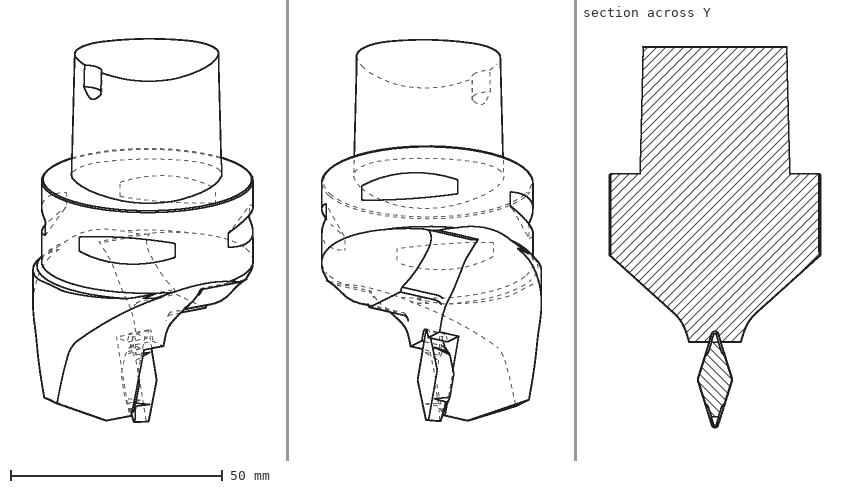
import cadquery as cq
import math

SHANK_LENGTH = 30.0
SHANK_TAPER = 1 / 40
LOBE_CENTRE = 7.2
LOBE_RADIUS_END = 10.8
SEAM_ANGLE = math.radians(40)
LOBE_DIRECTIONS = [90, 210, 330]

NOTCH_RADIUS = 4.85
NOTCH_CENTRE_Y = -18.5
NOTCH_DEPTH = 5.4
NOTCH_TIP_DEPTH = NOTCH_RADIUS

FLANGE_RADIUS = 25.0
FLANGE_CHAMFER = 0.35
FLANGE_BOTTOM = -20.35
RIM_HEIGHT = 1.1
RIM_OVERHANG = 0.55
RIM_RADIUS = FLANGE_RADIUS + RIM_OVERHANG
RIM_BOTTOM = FLANGE_BOTTOM - RIM_HEIGHT

GROOVE_Z = -10.0
GROOVE_FLOOR_DISTANCE = 22.15
GROOVE_FLOOR_WIDTH = 3.5
GROOVE_CORNER_RADIUS = 0.45
GROOVE_FLANK_SLOPE = math.tan(math.radians(28))
GROOVE_DIRECTIONS = [45, 135, 225, 315]

BLADE_FRONT_Y = 0.65
BLADE_BACK_Y = -27.15
BLADE_ROUND_RADIUS = 23.3
BLADE_ROUND_CENTRE_Y = -4.45
BLADE_LEDGE_Z = RIM_BOTTOM - 0.2
BLADE_FLAT_BLEND = 9.5
SHOULDER_Z = -19.2
SHOULDER_SLOPE = math.tan(math.radians(42))
SIDE_BLEND_RADIUS = 10.0
HEEL_START_Y = -11.6
HEEL_START_Z = -57.8
HEEL_END_Z = -50.2

BLOCK_FRONT_Y = 12.15
BLOCK_BOTTOM = -32.2
BLOCK_ARC_RADIUS = 26.7
BLOCK_CORNER_RADIUS = 3.8
BLOCK_FOOT_BLEND = 1.5
BLOCK_LAND_TOP = -31.2
BLOCK_LAND_HALF_WIDTH = 6.5
RELIEF_OUTER_Z = -19.9
RELIEF_SLOPE = 0.12

INSERT_TIP_Z = -60.0
INSERT_INSCRIBED_RADIUS = 7.94 / 2
INSERT_HALF_ANGLE = math.radians(17.5)
INSERT_NOSE_RADIUS = 0.8
INSERT_SIDE_RADIUS = 1.2
INSERT_THICKNESS = 4.3
INSERT_RELIEF_ANGLE = 7.0
INSERT_END_THICKNESS = 3.6
APEX_DISTANCE = INSERT_INSCRIBED_RADIUS / math.sin(INSERT_HALF_ANGLE)
SIDE_DISTANCE = INSERT_INSCRIBED_RADIUS / math.cos(INSERT_HALF_ANGLE)
NOSE_CUTBACK = INSERT_NOSE_RADIUS * (1 / math.sin(INSERT_HALF_ANGLE) - 1)
INSERT_CENTRE_Z = INSERT_TIP_Z + APEX_DISTANCE - NOSE_CUTBACK

SEAT_Y = -4.8
PAD_START_Y = -0.6
PAD_HALF_LENGTH = 6.45
PAD_END_SLOPE = 1.2
PAD_END_TAPER = 6.0
SEAT_TOP = -39.8

TAIL_INSET = 0.8
TAIL_NOSE_RADIUS = 0.6
TAIL_APEX_Z = INSERT_CENTRE_Z - APEX_DISTANCE + TAIL_INSET / math.sin(INSERT_HALF_ANGLE)

MARGIN = 40.0
OVERCUT = 1.0
SELECTION_GAP = 0.1


def xz_plane(y):
    """Plane facing -Y at the given Y, with local axes along X and Z."""
    return cq.Workplane("XZ", origin=(0, y, 0))


def polar(direction, distance, centre=(0.0, 0.0)):
    angle = math.radians(direction)
    return (centre[0] + distance * math.cos(angle), centre[1] + distance * math.sin(angle))


def shank_outline(plane, lobe_radius):
    """Closed outline of six tangent arcs."""
    seam = math.degrees(SEAM_ANGLE)
    centre_gap = LOBE_CENTRE / (math.cos(SEAM_ANGLE) - math.sin(SEAM_ANGLE) / math.tan(math.pi / 3))
    flank_centre = centre_gap * math.sin(SEAM_ANGLE) / math.sin(math.pi / 3)
    flank_middle = lobe_radius + centre_gap - flank_centre

    def lobe_point(direction, turn):
        return polar(direction + turn, lobe_radius, polar(direction, LOBE_CENTRE))

    outline = plane.moveTo(*lobe_point(LOBE_DIRECTIONS[0], -seam))
    for direction in LOBE_DIRECTIONS:
        outline = outline.threePointArc(lobe_point(direction, 0), lobe_point(direction, seam))
        outline = outline.threePointArc(
            polar(direction + 60, flank_middle), lobe_point(direction + 120, -seam)
        )
    return outline.close()


def make_shank():
    growth = SHANK_LENGTH * SHANK_TAPER
    base = shank_outline(cq.Workplane("XY"), LOBE_RADIUS_END + growth)
    shank = shank_outline(base.workplane(offset=SHANK_LENGTH), LOBE_RADIUS_END).loft(ruled=True)
    floor = SHANK_LENGTH - NOTCH_DEPTH
    notch = (
        cq.Workplane("XZ")
        .polyline([
            (0, SHANK_LENGTH + OVERCUT),
            (NOTCH_RADIUS, SHANK_LENGTH + OVERCUT),
            (NOTCH_RADIUS, floor),
            (0, floor - NOTCH_TIP_DEPTH),
        ])
        .close()
        .revolve(360, (0, 0), (0, 1))
        .translate((0, NOTCH_CENTRE_Y, 0))
    )
    return shank.cut(notch)


def make_flange():
    """Flange with its flared rim, as one turned shape."""
    return (
        cq.Workplane("XZ")
        .polyline([
            (0, 0),
            (FLANGE_RADIUS - FLANGE_CHAMFER, 0),
            (FLANGE_RADIUS, -FLANGE_CHAMFER),
            (FLANGE_RADIUS, FLANGE_BOTTOM),
            (RIM_RADIUS, RIM_BOTTOM),
            (0, RIM_BOTTOM),
        ])
        .close()
        .revolve(360, (0, 0), (0, 1))
    )


def make_groove(direction):
    depth = FLANGE_RADIUS + OVERCUT - GROOVE_FLOOR_DISTANCE
    half_floor = GROOVE_FLOOR_WIDTH / 2
    half_mouth = half_floor + depth * GROOVE_FLANK_SLOPE
    return (
        cq.Workplane("XZ")
        .polyline([
            (GROOVE_FLOOR_DISTANCE, GROOVE_Z - half_floor),
            (GROOVE_FLOOR_DISTANCE + depth, GROOVE_Z - half_mouth),
            (GROOVE_FLOOR_DISTANCE + depth, GROOVE_Z + half_mouth),
            (GROOVE_FLOOR_DISTANCE, GROOVE_Z + half_floor),
        ])
        .close()
        .extrude(FLANGE_RADIUS, both=True)
        .edges("|Y")
        .edges("<X")
        .fillet(GROOVE_CORNER_RADIUS)
        .rotate((0, 0, 0), (0, 0, 1), direction)
    )


def make_side_envelope():
    """Everything between the sloping shoulders and the tail flanks, along the whole depth in Y."""
    tail_slope = math.tan(INSERT_HALF_ANGLE)
    slope_foot_z = SHOULDER_Z - SHOULDER_SLOPE * FLANGE_RADIUS
    knee_x = tail_slope * (slope_foot_z - TAIL_APEX_Z) / (1 - tail_slope * SHOULDER_SLOPE)
    knee_z = slope_foot_z + SHOULDER_SLOPE * knee_x
    outer_x = RIM_RADIUS + OVERCUT
    top_z = SHOULDER_Z + SHOULDER_SLOPE * (outer_x - FLANGE_RADIUS)
    envelope = (
        xz_plane(MARGIN)
        .polyline([
            (-outer_x, top_z),
            (-knee_x, knee_z),
            (0, TAIL_APEX_Z),
            (knee_x, knee_z),
            (outer_x, top_z),
            (outer_x, OVERCUT),
            (-outer_x, OVERCUT),
        ])
        .close()
        .extrude(2 * MARGIN)
    )

    def blend(shape, x, z, radius):
        return shape.edges(cq.selectors.NearestToPointSelector((x, 0, z))).fillet(radius)

    envelope = blend(envelope, -knee_x, knee_z, SIDE_BLEND_RADIUS)
    envelope = blend(envelope, knee_x, knee_z, SIDE_BLEND_RADIUS)
    return blend(envelope, 0, TAIL_APEX_Z, TAIL_NOSE_RADIUS)


def make_blade_crown():
    """Turned limit of the blade: a 45 degree flare from the flange, then a nearly level ledge."""
    outer_radius = BLADE_ROUND_RADIUS - BLADE_ROUND_CENTRE_Y
    return (
        cq.Workplane("XZ")
        .polyline([
            (0, FLANGE_BOTTOM),
            (FLANGE_RADIUS, FLANGE_BOTTOM),
            (FLANGE_RADIUS + RIM_HEIGHT, RIM_BOTTOM),
            (outer_radius, BLADE_LEDGE_Z),
            (outer_radius, INSERT_TIP_Z),
            (0, INSERT_TIP_Z),
        ])
        .close()
        .revolve(360, (0, 0), (0, 1))
    )


def make_blade():
    """Column with a rounded back, cut to its side profile with the insert seat and the heel."""
    height = FLANGE_BOTTOM - INSERT_TIP_Z
    column = (
        cq.Workplane("XY", origin=(0, 0, INSERT_TIP_Z))
        .center(0, BLADE_ROUND_CENTRE_Y)
        .circle(BLADE_ROUND_RADIUS)
        .extrude(height)
    )
    side_profile = (
        cq.Workplane("YZ", origin=(-MARGIN, 0, 0))
        .polyline([
            (BLADE_FRONT_Y, FLANGE_BOTTOM),
            (BLADE_FRONT_Y, SEAT_TOP),
            (SEAT_Y, SEAT_TOP),
            (SEAT_Y, HEEL_START_Z - OVERCUT),
            (HEEL_START_Y, HEEL_START_Z - OVERCUT),
            (HEEL_START_Y, HEEL_START_Z),
            (BLADE_BACK_Y, HEEL_END_Z),
            (BLADE_BACK_Y, FLANGE_BOTTOM),
        ])
        .close()
        .extrude(2 * MARGIN)
    )
    back_flat = (
        cq.Workplane("XY", origin=(0, 0, INSERT_TIP_Z))
        .rect(2 * MARGIN, -2 * BLADE_BACK_Y)
        .extrude(height)
    )
    column = column.intersect(back_flat)
    column = column.edges("|Z").edges("<Y").fillet(BLADE_FLAT_BLEND)
    return column.intersect(side_profile).intersect(make_blade_crown())


def make_block():
    """Block with a round underside and a flared foot at the blade, before its front is trimmed."""
    depth = FLANGE_RADIUS - BLADE_FRONT_Y
    centre_z = BLOCK_BOTTOM + BLOCK_ARC_RADIUS
    land_half_width = math.sqrt(BLOCK_ARC_RADIUS**2 - (centre_z - BLOCK_LAND_TOP) ** 2)
    land = (
        xz_plane(FLANGE_RADIUS)
        .polyline([
            (-land_half_width, BLOCK_LAND_TOP),
            (-BLOCK_LAND_HALF_WIDTH, BLOCK_BOTTOM),
            (BLOCK_LAND_HALF_WIDTH, BLOCK_BOTTOM),
            (land_half_width, BLOCK_LAND_TOP),
        ])
        .close()
        .extrude(depth)
    )
    block = xz_plane(FLANGE_RADIUS).center(0, centre_z).circle(BLOCK_ARC_RADIUS).extrude(depth)
    block = block.union(land)
    backing = xz_plane(BLADE_FRONT_Y).rect(4 * MARGIN, 4 * MARGIN).extrude(OVERCUT)
    foot_edges = cq.selectors.BoxSelector(
        (-MARGIN, BLADE_FRONT_Y - SELECTION_GAP, -MARGIN),
        (MARGIN, BLADE_FRONT_Y + SELECTION_GAP, MARGIN),
    )
    block = block.union(backing).edges(foot_edges).fillet(BLOCK_FOOT_BLEND)
    space_below_flange = (
        xz_plane(FLANGE_RADIUS)
        .center(0, RIM_BOTTOM - MARGIN / 2)
        .rect(2 * MARGIN, MARGIN)
        .extrude(depth)
    )
    return block.intersect(space_below_flange)


def make_front_relief():
    """Space under the front of the flange: sloping ceiling blended into the block's front face."""
    ceiling_z = RELIEF_OUTER_Z - RELIEF_SLOPE * (FLANGE_RADIUS - BLOCK_FRONT_Y)
    outer_y = RIM_RADIUS + OVERCUT
    return (
        cq.Workplane("YZ", origin=(-MARGIN, 0, 0))
        .polyline([
            (BLOCK_FRONT_Y, INSERT_TIP_Z),
            (BLOCK_FRONT_Y, ceiling_z),
            (outer_y, ceiling_z + RELIEF_SLOPE * (outer_y - BLOCK_FRONT_Y)),
            (outer_y, INSERT_TIP_Z),
        ])
        .close()
        .extrude(2 * MARGIN)
        .edges(cq.selectors.NearestToPointSelector((0, BLOCK_FRONT_Y, ceiling_z)))
        .fillet(BLOCK_CORNER_RADIUS)
    )


def insert_prism(start_y, depth, inset=0.0):
    """Straight rhombic prism with rounded corners, extending towards -Y."""
    scale = 1 - inset / INSERT_INSCRIBED_RADIUS
    apex = APEX_DISTANCE * scale
    side = SIDE_DISTANCE * scale
    prism = (
        xz_plane(start_y)
        .center(0, INSERT_CENTRE_Z)
        .polyline([(0, apex), (side, 0), (0, -apex), (-side, 0)])
        .close()
        .extrude(depth)
    )
    nose_edges = prism.edges("|Y").edges("<Z or >Z")
    prism = nose_edges.fillet(INSERT_NOSE_RADIUS - inset)
    return prism.edges("|Y").edges("<X or >X").fillet(INSERT_SIDE_RADIUS - inset)


def make_insert():
    outline = insert_prism(0, INSERT_THICKNESS).faces(">Y").wires().vals()[0]
    tapered = (
        cq.Workplane("XZ")
        .add(outline)
        .toPending()
        .extrude(INSERT_THICKNESS, taper=INSERT_RELIEF_ANGLE)
    )
    reach = APEX_DISTANCE - NOSE_CUTBACK
    side_profile = (
        cq.Workplane("YZ", origin=(-MARGIN, 0, INSERT_CENTRE_Z))
        .polyline([
            (0, -reach),
            (-INSERT_END_THICKNESS, -reach),
            (-INSERT_THICKNESS, -PAD_HALF_LENGTH),
            (-INSERT_THICKNESS, PAD_HALF_LENGTH),
            (-INSERT_END_THICKNESS, reach),
            (0, reach),
        ])
        .close()
        .extrude(2 * MARGIN)
    )
    tapered = tapered.intersect(side_profile)

    pad_inset = -PAD_START_Y * math.tan(math.radians(INSERT_RELIEF_ANGLE))
    pad_depth = PAD_START_Y - SEAT_Y
    pad = insert_prism(PAD_START_Y, pad_depth, pad_inset)
    pad_end_x = (APEX_DISTANCE - PAD_HALF_LENGTH) * math.tan(INSERT_HALF_ANGLE) - pad_inset
    point_z = PAD_HALF_LENGTH + PAD_END_SLOPE * pad_end_x
    point_x = point_z / PAD_END_SLOPE
    pad_ends = (
        xz_plane(PAD_START_Y)
        .center(0, INSERT_CENTRE_Z)
        .polyline([(0, point_z), (point_x, 0), (0, -point_z), (-point_x, 0)])
        .close()
        .extrude(pad_depth, taper=PAD_END_TAPER)
    )
    return tapered.union(pad.intersect(pad_ends))


def make_holder():
    lower = make_blade().union(make_block())
    foot = lower.union(make_flange())
    holder = foot.intersect(make_side_envelope()).cut(make_front_relief())
    for direction in GROOVE_DIRECTIONS:
        holder = holder.cut(make_groove(direction))
    pocket = insert_prism(BLADE_FRONT_Y, BLADE_FRONT_Y - SEAT_Y)
    return holder.cut(pocket).union(make_shank())


holder = make_holder()
insert = make_insert()
result = cq.Compound.makeCompound([holder.val(), insert.val()])